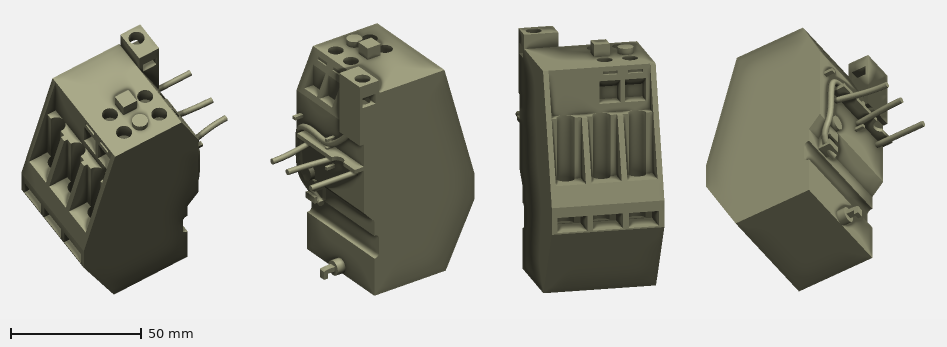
import cadquery as cq


WIDTH = 44.6
NOSE_LOW_Z = 27.4
NOSE_TOP_Z = 38.1
BASE_FRONT_Y = 13.7
PANEL_Y = 14.3
TOP_Z = 89.0
TOP_BACK_Y = 44.65
BACK_Y = 52.4
SLOPE_FOOT_Z = 72.1
STEP_TOP_Z = 38.3
STEP_FOOT_Z = 32.8
LOWER_BACK_Y = 47.4
NOTCH_TOP_Z = 26.5
NOTCH_FOOT_Z = 16.5
NOTCH_DEPTH = 2.2
NOTCH_RADIUS = 1.9

SIDE_WALL = 2.2
DIVIDER = 2.3
PHASE_COUNT = 3
CHANNEL_WIDTH = (WIDTH - 2 * SIDE_WALL - (PHASE_COUNT - 1) * DIVIDER) / PHASE_COUNT
PHASE_PITCH = CHANNEL_WIDTH + DIVIDER
LEDGE_Z = 70.7
CHANNEL_FLOOR_Z = 46.2
CHANNEL_BACK_Y = 10.6
WIRE_POCKET_Z = (28.0, 34.1)
WIRE_POCKET_BACK_Y = 11.4
SCREW_PITCH = 14.2
SCREW_DIAMETER = 6.9
SCREW_Y = 11.0
SCREW_FLOOR_Z = 28.3

CONTROL_PITCH = 10.0
CONTROL_X = [26.6, 26.6 + CONTROL_PITCH]
WINDOW_WIDTH = 8.3
WINDOW_Z = (74.3, 83.3)
WINDOW_ROOF_BACK_Z = 79.3
WINDOW_DEPTH = 6.2
SLIT_WIDTH = 5.9
SLIT_Z = (85.7, 87.1)
SLIT_DEPTH = 1.4
REAR_WINDOW_Y = 47.2
REAR_SLIT_Y = (45.6, 46.45)
CONTROL_SIZE = 6.15
CONTROL_HOLE_Y = [23.5, 39.5]
CONTROL_HOLE_DEPTH = 6.15
BUTTON_Y = 30.7
SQUARE_BUTTON_TOP_Z = 94.0
ROUND_BUTTON_TOP_Z = 91.5

BLOCK_WIDTH = 13.5
BLOCK_Y = (45.2, 54.3)
BLOCK_Z = (68.6, 94.6)
BLOCK_WINDOW_Y = (46.8, 53.1)
BLOCK_WINDOW_Z = (84.9, 89.2)
BLOCK_HOLE_X = 4.8
BLOCK_HOLE_Y = 49.6
BLOCK_HOLE_FLOOR_Z = 83.4

PLATE_Z = (57.0, 58.7)
PLATE_FRONT_Y = 46.7
PLATE_LEFT_BACK_Y = 56.7
PLATE_BACK_Y = 58.1
PLATE_WIDTH = 36.1
PLATE_NOTCH_X = 10.1
PLATE_NOTCH_RADIUS = 3.0

CABLE_DIAMETER = 2.6
CABLE_POINTS = [
    (8.5, 52.8, 70.0),
    (13.1, 53.7, 64.9),
    (19.6, 54.6, 60.7),
    (35.0, 54.8, 60.7),
    (38.8, 54.8, 58.6),
    (39.9, 54.6, 53.9),
    (40.0, 54.3, 43.5),
    (40.0, 53.3, 37.65),
    (39.2, 51.1, 32.5),
    (36.3, 50.1, 29.6),
    (31.2, 50.2, 27.2),
]
CLIP_BACK_Y = 56.3
CLIP_THICKNESS = 1.3
CLIP_LEFT_X = (18.9, 20.2)
CLIP_RIGHT_X = (40.0, 41.8)
UPPER_CLIP_Z = 62.0
MIDDLE_CLIP_Z = 58.2
LOWER_CLIP_Z = 49.6
HOLDER_X = (32.2, 38.0)
HOLDER_BACK_Y = 52.7
HOLDER_Z = (27.5, 37.4)
HOLDER_SLOT_Y = 48.9
HOLDER_SLOT_Z = (28.6, 32.8)
HOLDER_LIP_THICKNESS = 1.2
HOLDER_LIP_TOP_Z = 30.3
HOLDER_BOSS_Z = 40.2
HOLDER_BOSS_BACK_Y = 54.5

LATCH_X = WIDTH / 2
LATCH_RADIUS = 3.1
LATCH_BACK_Y = 51.0
HOOK_WIDTH = 2.8
HOOK_BACK_Y = 56.3
HOOK_TIP_THICKNESS = 1.8
HOOK_TIP_Z = 0.3
HOOK_ARM_Z = (2.4, 4.35)
HOOK_BEND_Y = 53.6
HOOK_CORNER = 0.6

PIN_DIAMETER = 2.4
PIN_Z = 54.1
PIN_TIP_Y = 74.1
PIN_ROOT_X = [4.8, 18.5, 34.0]
PIN_TIP_X = [4.8, 20.2, 30.4]
PIN_LEAN = 0.9


def box(x_range, y_range, z_range):
    """A block between two limits along each axis."""
    limits = (x_range, y_range, z_range)
    sizes = [high - low for low, high in limits]
    corner = tuple(low for low, high in limits)
    return cq.Workplane("XY").box(*sizes, centered=False).translate(corner)


def centred(middle, width):
    """The two limits of a width about its middle."""
    return (middle - width / 2, middle + width / 2)


def side_profile(points, x_range):
    """A closed outline of (Y, Z) points extruded along X."""
    low, high = x_range
    return cq.Workplane("YZ").polyline(points).close().extrude(high - low).translate((low, 0, 0))


def upright_cylinder(x, y, diameter, z_range):
    low, high = z_range
    return cq.Workplane("XY", origin=(x, y, low)).circle(diameter / 2).extrude(high - low)


def backward_cylinder(x, z, radius, y_range):
    low, high = y_range
    return cq.Workplane("XZ", origin=(x, low, z)).circle(radius).extrude(low - high)


def shell():
    outline = [
        (BASE_FRONT_Y, 0),
        (0, NOSE_LOW_Z),
        (0, NOSE_TOP_Z),
        (PANEL_Y, TOP_Z),
        (TOP_BACK_Y, TOP_Z),
        (BACK_Y, SLOPE_FOOT_Z),
        (BACK_Y, STEP_TOP_Z),
        (LOWER_BACK_Y, STEP_FOOT_Z),
        (LOWER_BACK_Y, 0),
    ]
    notch = box(
        (0, WIDTH),
        (LOWER_BACK_Y - NOTCH_DEPTH, BACK_Y),
        (NOTCH_FOOT_Z, NOTCH_TOP_Z),
    )
    notch = notch.edges("|X and <Y").fillet(NOTCH_RADIUS)
    return side_profile(outline, (0, WIDTH)).cut(notch)


def front_recesses():
    """The panel recess, then a screw channel, wire pocket and screw hole for each phase."""
    cuts = box((SIDE_WALL, WIDTH - SIDE_WALL), (0, PANEL_Y), (LEDGE_Z, TOP_Z))
    for phase in range(PHASE_COUNT):
        left = SIDE_WALL + phase * PHASE_PITCH
        across = (left, left + CHANNEL_WIDTH)
        screw_x = WIDTH / 2 + (phase - (PHASE_COUNT - 1) / 2) * SCREW_PITCH
        cuts = (
            cuts.union(box(across, (0, CHANNEL_BACK_Y), (CHANNEL_FLOOR_Z, LEDGE_Z)))
            .union(box(across, (0, WIRE_POCKET_BACK_Y), WIRE_POCKET_Z))
            .union(upright_cylinder(screw_x, SCREW_Y, SCREW_DIAMETER, (SCREW_FLOOR_Z, LEDGE_Z)))
        )
    return cuts


def contact_openings(x):
    """Window and slit in the front panel and in the rear slope, at one contact."""
    window_x = centred(x, WINDOW_WIDTH)
    slit_x = centred(x, SLIT_WIDTH)
    window_outline = [
        (PANEL_Y, WINDOW_Z[0]),
        (PANEL_Y, WINDOW_Z[1]),
        (PANEL_Y + WINDOW_DEPTH, WINDOW_ROOF_BACK_Z),
        (PANEL_Y + WINDOW_DEPTH, WINDOW_Z[0]),
    ]
    return (
        side_profile(window_outline, window_x)
        .union(box(slit_x, (PANEL_Y, PANEL_Y + SLIT_DEPTH), SLIT_Z))
        .union(box(window_x, (REAR_WINDOW_Y, BACK_Y), WINDOW_Z))
        .union(box(slit_x, REAR_SLIT_Y, SLIT_Z))
    )


def control_holes():
    places = [(x, y) for x in CONTROL_X for y in CONTROL_HOLE_Y]
    holes = cq.Workplane("XY", origin=(0, 0, TOP_Z)).pushPoints(places)
    return holes.circle(CONTROL_SIZE / 2).extrude(-CONTROL_HOLE_DEPTH)


def buttons():
    square = box(
        centred(CONTROL_X[0], CONTROL_SIZE),
        centred(BUTTON_Y, CONTROL_SIZE),
        (TOP_Z, SQUARE_BUTTON_TOP_Z),
    )
    round_one = upright_cylinder(CONTROL_X[1], BUTTON_Y, CONTROL_SIZE, (TOP_Z, ROUND_BUTTON_TOP_Z))
    return square.union(round_one)


def terminal_block():
    block = box((0, BLOCK_WIDTH), BLOCK_Y, BLOCK_Z)
    window = box((0, BLOCK_WIDTH), BLOCK_WINDOW_Y, BLOCK_WINDOW_Z)
    hole = upright_cylinder(
        BLOCK_HOLE_X, BLOCK_HOLE_Y, CONTROL_SIZE, (BLOCK_HOLE_FLOOR_Z, BLOCK_Z[1])
    )
    return block.cut(window).cut(hole)


def guide_plate():
    left = box((0, PLATE_NOTCH_X), (PLATE_FRONT_Y, PLATE_LEFT_BACK_Y), PLATE_Z)
    right = box((PLATE_NOTCH_X, PLATE_WIDTH), (PLATE_FRONT_Y, PLATE_BACK_Y), PLATE_Z)
    notch = upright_cylinder(PLATE_NOTCH_X, PLATE_BACK_Y, 2 * PLATE_NOTCH_RADIUS, PLATE_Z)
    return left.union(right).cut(notch)


def cable():
    path = cq.Workplane("XY").spline(CABLE_POINTS)
    start = path.val().positionAt(0)
    direction = path.val().tangentAt(0)
    section = cq.Workplane(cq.Plane(origin=start, normal=direction)).circle(CABLE_DIAMETER / 2)
    return section.sweep(path)


def cable_clips():
    reach = (BACK_Y, CLIP_BACK_Y)
    places = [
        (CLIP_LEFT_X, UPPER_CLIP_Z),
        (CLIP_RIGHT_X, UPPER_CLIP_Z),
        (CLIP_LEFT_X, MIDDLE_CLIP_Z),
        (CLIP_LEFT_X, LOWER_CLIP_Z),
    ]
    clips = cq.Workplane("XY")
    for across, z in places:
        clips = clips.add(box(across, reach, (z, z + CLIP_THICKNESS)))
    return clips.combine()


def cable_holder():
    """A slotted hook round the cable end, hanging below a round boss."""
    hook = box(HOLDER_X, (LOWER_BACK_Y, HOLDER_BACK_Y), HOLDER_Z)
    lip_front = HOLDER_BACK_Y - HOLDER_LIP_THICKNESS
    slot = box(HOLDER_X, (HOLDER_SLOT_Y, lip_front), HOLDER_SLOT_Z)
    mouth = box(HOLDER_X, (lip_front, HOLDER_BACK_Y), (HOLDER_LIP_TOP_Z, HOLDER_SLOT_Z[1]))
    boss = backward_cylinder(
        sum(HOLDER_X) / 2,
        HOLDER_BOSS_Z,
        (HOLDER_X[1] - HOLDER_X[0]) / 2,
        (LOWER_BACK_Y, HOLDER_BOSS_BACK_Y),
    )
    return hook.cut(slot).cut(mouth).union(boss)


def latch():
    """A round boss at the base with a hook bent downwards."""
    boss = backward_cylinder(LATCH_X, LATCH_RADIUS, LATCH_RADIUS, (LOWER_BACK_Y, LATCH_BACK_Y))
    arm_low, arm_high = HOOK_ARM_Z
    tip_front = HOOK_BACK_Y - HOOK_TIP_THICKNESS
    outline = [
        (LOWER_BACK_Y, arm_low),
        (tip_front, arm_low),
        (tip_front, HOOK_TIP_Z),
        (HOOK_BACK_Y, HOOK_TIP_Z),
        (HOOK_BACK_Y, arm_high - HOOK_CORNER),
        (HOOK_BACK_Y - HOOK_CORNER, arm_high - HOOK_CORNER / 2),
        (HOOK_BEND_Y, arm_high),
        (LOWER_BACK_Y, arm_high),
    ]
    return boss.union(side_profile(outline, centred(LATCH_X, HOOK_WIDTH)))


def make_housing():
    body = shell().cut(front_recesses()).cut(control_holes())
    for x in CONTROL_X:
        body = body.cut(contact_openings(x))
    additions = [
        buttons(),
        terminal_block(),
        guide_plate(),
        cable_clips(),
        cable_holder(),
        latch(),
        cable(),
    ]
    for addition in additions:
        body = body.union(addition)
    return body


def make_pin(root_x, tip_x):
    """A round pin with a square-on tip, leaning sideways to a flat root on the housing back."""
    length = PIN_TIP_Y - BACK_Y
    lean = PIN_LEAN * (tip_x - root_x) / length
    buried_root = (root_x - lean * PIN_DIAMETER, BACK_Y - PIN_DIAMETER, PIN_Z)
    tip = (tip_x, PIN_TIP_Y, PIN_Z)
    path = cq.Workplane("XY").spline([tip, buried_root], tangents=[(0, -1, 0), (-lean, -1, 0)])
    pin = cq.Workplane("XZ", origin=tip).circle(PIN_DIAMETER / 2).sweep(path)
    behind_housing = box((0, WIDTH), (BACK_Y, PIN_TIP_Y), centred(PIN_Z, 2 * PIN_DIAMETER))
    return pin.intersect(behind_housing)


housing = make_housing()
pins = [make_pin(root_x, tip_x) for root_x, tip_x in zip(PIN_ROOT_X, PIN_TIP_X)]

result = cq.Compound.makeCompound([housing.val(), *[pin.val() for pin in pins]])